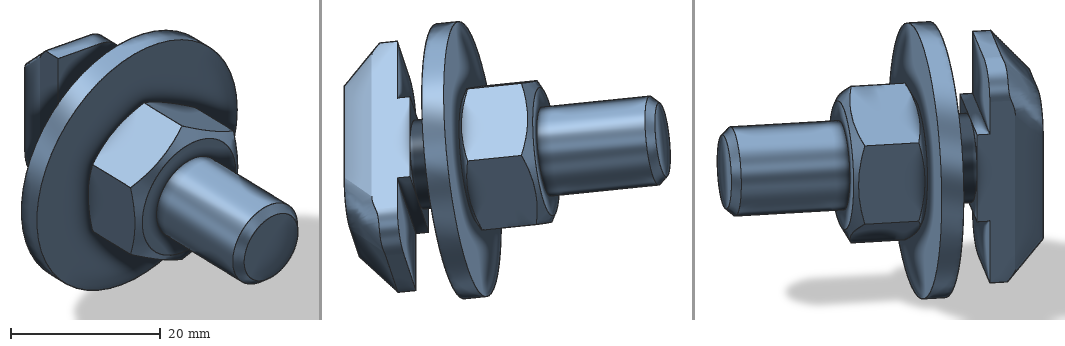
import cadquery as cq
import math

total_length = 42.5
shaft_diameter = 12.0
shaft_tip_diameter = 9.95
shaft_tip_length = 1.15

head_thickness = 7.5
head_length = 31.6
head_width = shaft_diameter
head_end_angle = math.radians(10)
head_corner_radius = 5.0
side_taper_depth = 9.4
side_taper_inset = 2.2
end_taper_depth = 5.0
taper_edge_radius = 0.42

neck_thickness = 1.75

washer_start = 13.47
washer_thickness = 3.0
washer_diameter = 37.0
washer_hole_diameter = 13.0

nut_thickness = 10.07
nut_across_flats = 19.0
nut_face_diameter = 17.25
nut_chamfer_angle = math.radians(30)

end_slope = math.tan(head_end_angle)
neck_tip_height = shaft_diameter / 2 * (1 / math.cos(head_end_angle) + end_slope)


def plane_at(x):
    """Plane across the bolt axis, with local axes along +Y and +Z."""
    return cq.Workplane("YZ", origin=(x, 0, 0))


def slanted_outline(half_width, tip_height):
    """Corners of a parallelogram with sloping ends, sharp at -Y +Z and +Y -Z."""
    blunt_height = tip_height - 2 * half_width * end_slope
    return [
        (-half_width, tip_height),
        (half_width, blunt_height),
        (half_width, -tip_height),
        (-half_width, -blunt_height),
    ]


def tapered_outline(x):
    """Outline of the head's sloping flanks at distance x from the head face."""
    half_width = head_width / 2 + (x / side_taper_depth - 0.42) * side_taper_inset
    end_growth = (x - end_taper_depth) / math.cos(head_end_angle)
    tip_height = head_length / 2 + end_growth + (half_width - head_width / 2) * end_slope
    return slanted_outline(half_width, tip_height)


def flank_edge(outline_index):
    """Selector for the sloping edge that starts at one corner of the head face."""
    y, z = tapered_outline(0)[outline_index]
    far_y, far_z = tapered_outline(head_thickness)[outline_index]
    middle = (head_thickness / 2, (y + far_y) / 2, (z + far_z) / 2)
    return cq.selectors.NearestToPointSelector(middle)


def make_head():
    body = plane_at(0).polyline(slanted_outline(head_width / 2, head_length / 2)).close()
    body = body.extrude(head_thickness)
    blunt_height = head_length / 2 - head_width * end_slope
    blunt_corners = [(1, 1), (-1, -1)]
    for y_sign, z_sign in blunt_corners:
        corner = (head_thickness / 2, y_sign * head_width / 2, z_sign * blunt_height)
        edge = body.edges(cq.selectors.NearestToPointSelector(corner))
        body = edge.fillet(head_corner_radius)

    flanks = (
        plane_at(0)
        .polyline(tapered_outline(0))
        .close()
        .workplane(offset=head_thickness)
        .polyline(tapered_outline(head_thickness))
        .close()
        .loft(ruled=True)
    )
    edge_radii = [taper_edge_radius, head_corner_radius, taper_edge_radius, head_corner_radius]
    for index, radius in enumerate(edge_radii):
        flanks = flanks.edges(flank_edge(index)).fillet(radius)
    return body.intersect(flanks)


def make_neck():
    outline = slanted_outline(head_width / 2, neck_tip_height)
    return plane_at(head_thickness).polyline(outline).close().extrude(neck_thickness)


def make_shaft():
    radius = shaft_diameter / 2
    profile = [
        (head_thickness, 0),
        (head_thickness, radius),
        (total_length - shaft_tip_length, radius),
        (total_length, shaft_tip_diameter / 2),
        (total_length, 0),
    ]
    return cq.Workplane("XY").polyline(profile).close().revolve(360, (0, 0, 0), (1, 0, 0))


def make_washer():
    rings = plane_at(washer_start).circle(washer_diameter / 2).circle(washer_hole_diameter / 2)
    return rings.extrude(washer_thickness)


def make_nut():
    start = washer_start + washer_thickness
    end = start + nut_thickness
    corner_radius = nut_across_flats / 2 / math.cos(math.pi / 6)
    hexagon = plane_at(start).transformed(rotate=(0, 0, 90)).polygon(6, 2 * corner_radius)
    prism = hexagon.extrude(nut_thickness)

    face_radius = nut_face_diameter / 2
    middle = (start + end) / 2
    envelope_radius = face_radius + nut_thickness / 2 / math.tan(nut_chamfer_angle)
    profile = [(start, 0), (start, face_radius), (middle, envelope_radius), (end, face_radius), (end, 0)]
    envelope = cq.Workplane("XY").polyline(profile).close().revolve(360, (0, 0, 0), (1, 0, 0))
    return prism.intersect(envelope)


result = make_head().union(make_neck()).union(make_shaft()).union(make_nut()).union(make_washer())